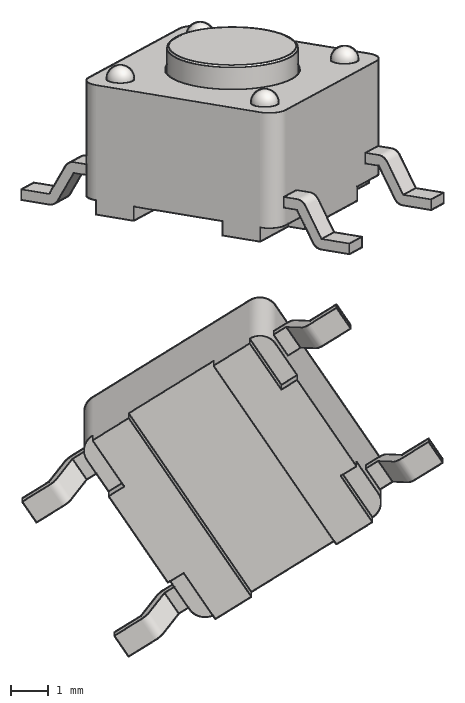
import cadquery as cq
import math

body_side = 6.0
corner_radius = 0.5
body_bottom = 0.08
skirt_top = 0.48
body_top = 3.7

channel_width = 2.7
corner_notch_x = 0.5
side_tab_width = 2.9

button_diameter = 3.5
button_top = 4.35
button_chamfer = 0.05
well_diameter = 3.6
well_depth = 0.5

dome_diameter = 0.75
dome_offset = 2.2

lead_span = 10.0
lead_thickness = 0.3
lead_width = 0.7
lead_offset = 2.25
lead_top = 1.3
lead_bend_x = 3.4
lead_angle = math.radians(60)

half_side = body_side / 2
well_floor = body_top - well_depth


def make_block():
    return (
        cq.Workplane("XY", origin=(0, 0, skirt_top))
        .rect(body_side, body_side)
        .extrude(body_top - skirt_top)
        .edges("|Z")
        .fillet(corner_radius)
    )


def make_foot(side):
    """Foot strip along Y with a tab reaching the side face; side is +1 or -1 in X."""
    foot_height = skirt_top - body_bottom
    inner_x = channel_width / 2
    strip_x = half_side - corner_notch_x
    plane = cq.Workplane("XY", origin=(0, 0, body_bottom))
    strip = (
        plane.center(side * (inner_x + strip_x) / 2, 0)
        .rect(strip_x - inner_x, body_side)
        .extrude(foot_height)
    )
    tab = (
        plane.center(side * (inner_x + half_side) / 2, 0)
        .rect(half_side - inner_x, side_tab_width)
        .extrude(foot_height)
    )
    return strip.union(tab)


def make_dome(x, y):
    """Half sphere resting on the top face."""
    radius = dome_diameter / 2
    return (
        cq.Workplane("XZ")
        .lineTo(radius, 0)
        .radiusArc((0, radius), -radius)
        .close()
        .revolve(360, (0, 0, 0), (0, 1, 0))
        .translate((x, y, body_top))
    )


def make_lead(side, y):
    """Bent strip: both bends are sharp inside and rounded outside; side is +1 or -1 in X."""
    t = lead_thickness
    upper_z = lead_top - t
    bend_run = (upper_z - t) / math.tan(lead_angle) + t / math.sin(lead_angle)
    lower_x = lead_bend_x + bend_run
    tip_x = lead_span / 2

    def on_bend(centre_x, centre_z, angle, direction):
        """Point on the outer round of a bend, turned by angle from vertical."""
        return (
            side * (centre_x + direction * t * math.sin(angle)),
            centre_z + direction * t * math.cos(angle),
        )

    return (
        cq.Workplane("XZ", origin=(0, y + lead_width / 2, 0))
        .moveTo(side * half_side, upper_z)
        .lineTo(side * half_side, lead_top)
        .lineTo(side * lead_bend_x, lead_top)
        .threePointArc(
            on_bend(lead_bend_x, upper_z, lead_angle / 2, 1),
            on_bend(lead_bend_x, upper_z, lead_angle, 1),
        )
        .lineTo(side * lower_x, t)
        .lineTo(side * tip_x, t)
        .lineTo(side * tip_x, 0)
        .lineTo(side * lower_x, 0)
        .threePointArc(
            on_bend(lower_x, t, lead_angle / 2, -1),
            on_bend(lower_x, t, lead_angle, -1),
        )
        .lineTo(side * lead_bend_x, upper_z)
        .close()
        .extrude(lead_width)
    )


def make_housing():
    """Block with feet, domes and leads, and a round well for the button."""
    housing = make_block()
    for side in (-1, 1):
        housing = housing.union(make_foot(side))
        for end in (-1, 1):
            housing = housing.union(make_dome(side * dome_offset, end * dome_offset))
            housing = housing.union(make_lead(side, end * lead_offset))
    well = (
        cq.Workplane("XY", origin=(0, 0, well_floor))
        .circle(well_diameter / 2)
        .extrude(well_depth)
    )
    return housing.cut(well)


def make_button():
    """Round button standing on the well floor, with clearance all round."""
    return (
        cq.Workplane("XY", origin=(0, 0, well_floor))
        .circle(button_diameter / 2)
        .extrude(button_top - well_floor)
        .faces(">Z")
        .chamfer(button_chamfer)
    )


housing = make_housing()
button = make_button()
result = cq.Compound.makeCompound([housing.val(), button.val()])